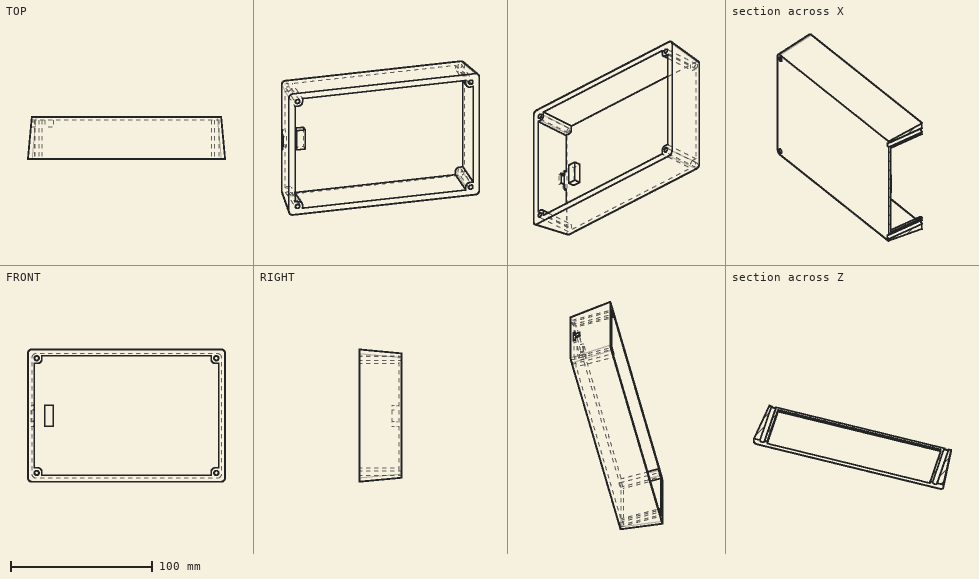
import cadquery as cq
import math

LENGTH = 140.0
HEIGHT = 94.0
DEPTH = 30.0
TAPER_INSET = 2.8
CORNER_RADIUS = 3.0

RIM_WIDTH = 4.5
FLOOR_THICKNESS = 2.1
CAVITY_LENGTH = LENGTH - 2 * RIM_WIDTH
CAVITY_HEIGHT = HEIGHT - 2 * RIM_WIDTH
CAVITY_DEPTH = DEPTH - FLOOR_THICKNESS

HOLE_INSET = 6.3
HOLE_DIAMETER = 3.1
POST_WALL = 2.1
POST_FILLET = 3.0
EDGE_MARGIN = 0.1

SLOT_HEIGHT = 14.8
SLOT_THICKNESS = 1.4
WINDOW_HEIGHT = 8.0
WINDOW_THICKNESS = 3.4

STOP_INSET = 12.2
STOP_LENGTH = 6.0

FRONT_Y = -DEPTH / 2
FLOOR_Y = FRONT_Y + CAVITY_DEPTH
LEFT_X = -LENGTH / 2
HOLE_X = LENGTH / 2 - HOLE_INSET
HOLE_Z = HEIGHT / 2 - HOLE_INSET
HOLE_CENTRES = [(x, z) for x in (-HOLE_X, HOLE_X) for z in (-HOLE_Z, HOLE_Z)]

FRONT_PLANE = cq.Plane(origin=(0, FRONT_Y, 0), xDir=(1, 0, 0), normal=(0, 1, 0))


def box_from_left(x_start, length, y_back, thickness, height):
    """Box centred on Z = 0, running +X from x_start and forward from y_back."""
    box = cq.Workplane("XY").box(length, thickness, height, centered=(False, False, True))
    return box.translate((x_start, y_back - thickness, 0))


def make_shell():
    taper_angle = math.degrees(math.atan(TAPER_INSET / DEPTH))
    block = (
        cq.Workplane(FRONT_PLANE)
        .rect(LENGTH, HEIGHT)
        .extrude(DEPTH, taper=taper_angle)
        .edges("not(#Y)")
        .fillet(CORNER_RADIUS)
    )
    cavity = cq.Workplane(FRONT_PLANE).rect(CAVITY_LENGTH, CAVITY_HEIGHT).extrude(CAVITY_DEPTH)
    return block.cut(cavity)


def make_posts():
    """Posts filling the cavity corners, each with its inner edge rounded."""
    post_side = HOLE_INSET + HOLE_DIAMETER / 2 + POST_WALL - RIM_WIDTH
    centre_x = (CAVITY_LENGTH - post_side) / 2
    centre_z = (CAVITY_HEIGHT - post_side) / 2
    posts = (
        cq.Workplane(FRONT_PLANE)
        .rect(2 * centre_x, 2 * centre_z, forConstruction=True)
        .vertices()
        .rect(post_side, post_side)
        .extrude(CAVITY_DEPTH)
    )
    inner_x = CAVITY_LENGTH / 2 - post_side
    inner_z = CAVITY_HEIGHT / 2 - post_side
    inner_edges = cq.selectors.BoxSelector(
        (-inner_x - EDGE_MARGIN, -DEPTH, -inner_z - EDGE_MARGIN),
        (inner_x + EDGE_MARGIN, DEPTH, inner_z + EDGE_MARGIN),
    )
    return posts.edges("|Y").edges(inner_edges).fillet(POST_FILLET)


def make_connector_opening():
    slot = box_from_left(LEFT_X, RIM_WIDTH, FLOOR_Y, SLOT_THICKNESS, SLOT_HEIGHT)
    window = box_from_left(LEFT_X, RIM_WIDTH, FLOOR_Y - SLOT_THICKNESS, WINDOW_THICKNESS, WINDOW_HEIGHT)
    return slot.union(window)


def make_board_stop():
    stop_rise = SLOT_THICKNESS + WINDOW_THICKNESS
    return box_from_left(LEFT_X + STOP_INSET, STOP_LENGTH, FLOOR_Y, stop_rise, SLOT_HEIGHT)


screw_holes = cq.Workplane(FRONT_PLANE).pushPoints(HOLE_CENTRES).circle(HOLE_DIAMETER / 2).extrude(DEPTH)

result = (
    make_shell()
    .union(make_posts())
    .union(make_board_stop())
    .cut(make_connector_opening())
    .cut(screw_holes)
)